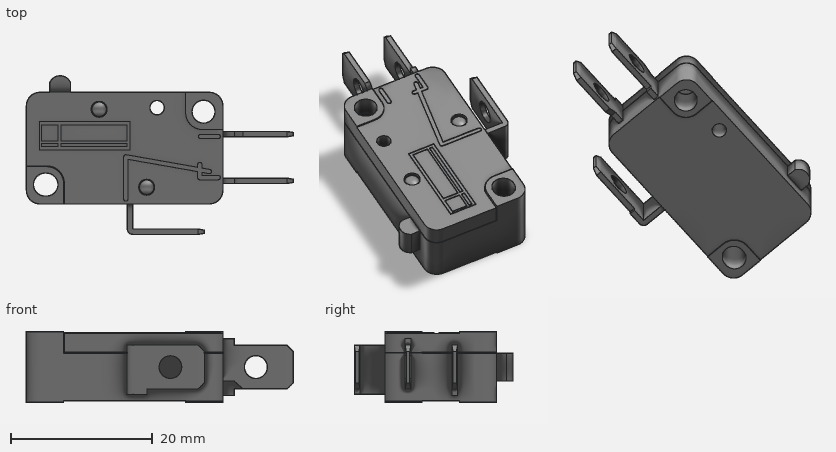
import cadquery as cq
import math

LENGTH = 27.8
WIDTH = 15.8
HEIGHT = 10.0
CORNER_RADIUS = 1.95
PAD_SIZE = 5.28
PAD_RADIUS = 2.38
PAD_STEP = 0.23
COVER_TOP_Z = HEIGHT - PAD_STEP
SEAM_Z = 6.97
GAP = 0.1

MOUNT_DIAMETER = 3.2
MOUNT_INSET = 2.75
SLOT_LENGTH = 3.43
PEG_HOLE_DIAMETER = 2.0
PEG_HOLE_CENTER = (18.47, 13.6)

RIVET_CENTERS = [(10.3, 13.4), (17.0, 2.38)]
RIVET_POCKET_DIAMETER = 2.25
RIVET_DIAMETER = 2.05
RIVET_POCKET_DEPTH = 0.4
RIVET_DOME_HEIGHT = 0.23

MARK_HEIGHT = 0.1
STROKE = 0.6
FRAME_X = (1.9, 14.65)
FRAME_Y = (7.65, 11.65)
WINDOW_COLUMNS = [(2.2, 4.5), (4.95, 14.2)]
WINDOW_ROWS = [(8.1, 8.55), (8.9, 11.2)]
ARM_PIVOT = (14.05, 6.67)
ARM_FOOT_Y = 0.7
ARM_TIP_X = 25.85
ARM_ANGLE = 10
CONTACT_X = 24.5
CONTACT_Y = (3.75, 5.58)
UPPER_MARK_X = 24.6
UPPER_MARK_Y = 9.55
MARK_END_X = 27.1

BLADE = 0.8
BLADE_MID_Z = HEIGHT / 2
BLADE_HALF_WIDTH = 3.1
BLADE_HOLE_DIAMETER = 3.2
TIP_LENGTH = 0.85
TIP_TAPER = 0.15
BLADE_TIP_X = 37.7
BLADE_HOLE_X = 32.42
SHOULDER_END_X = 29.35
SHOULDER_HALF_WIDTH = 4.05
RELIEF_HALF_WIDTH = 2.0
RELIEF_RUN = 1.25
STRAIGHT_TERMINALS = [(3.28, 1), (9.88, -1)]
BENT_X = 14.25
BENT_DROP = 4.3
BENT_TIP_X = 25.15
BENT_HOLE_X = 20.35
BENT_FOOT_END_X = 17.05
BENT_FOOT_Z = 1.13

PLUNGER_X = (3.3, 6.25)
PLUNGER_REACH = 2.35
PLUNGER_SIDE = 1.35
PLUNGER_BOTTOM_Z = HEIGHT - SEAM_Z


def box(x_range, y_range, z_range):
    size = [high - low for low, high in (x_range, y_range, z_range)]
    return cq.Workplane().box(*size, centered=False).translate((x_range[0], y_range[0], z_range[0]))


def rounded_block(z_range):
    return box((0, LENGTH), (0, WIDTH), z_range).edges("|Z").fillet(CORNER_RADIUS)


def corner_zone(far, size, radius, z_range):
    """Column over one mounting corner, rounded towards the middle of the block."""
    zone = box((0, size), (0, size), z_range).edges("|Z and >X and >Y").fillet(radius)
    if far:
        zone = zone.rotate((0, 0, 0), (0, 0, 1), 180).translate((LENGTH, WIDTH, 0))
    return zone


def through_holes():
    slot = (
        cq.Workplane().center(MOUNT_INSET, MOUNT_INSET)
        .slot2D(SLOT_LENGTH, MOUNT_DIAMETER).extrude(HEIGHT)
    )
    round_hole = (
        cq.Workplane().center(LENGTH - MOUNT_INSET, WIDTH - MOUNT_INSET)
        .circle(MOUNT_DIAMETER / 2).extrude(HEIGHT)
    )
    peg_hole = cq.Workplane().center(*PEG_HOLE_CENTER).circle(PEG_HOLE_DIAMETER / 2).extrude(HEIGHT)
    return slot.union(round_hole).union(peg_hole)


def blade(start_x, tip_x, hole_x, y):
    """Flat tab along X with a tapered tip and a cross hole."""
    shoulder_x = tip_x - TIP_LENGTH
    half = BLADE_HALF_WIDTH
    tip_half = half - TIP_LENGTH
    side = (
        cq.Workplane("XZ", origin=(0, y, BLADE_MID_Z))
        .polyline([
            (start_x, -half), (shoulder_x, -half), (tip_x, -tip_half),
            (tip_x, tip_half), (shoulder_x, half), (start_x, half),
        ])
        .close().extrude(BLADE / 2, both=True)
    )
    thick = BLADE / 2
    tip_thick = thick - TIP_TAPER
    plan = (
        cq.Workplane("XY", origin=(0, y, 0))
        .polyline([
            (start_x, -thick), (shoulder_x, -thick), (tip_x, -tip_thick),
            (tip_x, tip_thick), (shoulder_x, thick), (start_x, thick),
        ])
        .close().extrude(HEIGHT)
    )
    hole = (
        cq.Workplane("XZ", origin=(hole_x, y, BLADE_MID_Z))
        .circle(BLADE_HOLE_DIAMETER / 2).extrude(BLADE, both=True)
    )
    return side.intersect(plan).cut(hole)


def straight_terminal(y, wide_side):
    """Blade whose root steps outwards on one edge (wide_side +1 up, -1 down) and inwards on the other."""
    root_end_x = SHOULDER_END_X + RELIEF_RUN
    root = (
        cq.Workplane("XZ", origin=(0, y, BLADE_MID_Z))
        .polyline([
            (LENGTH, -wide_side * RELIEF_HALF_WIDTH),
            (SHOULDER_END_X, -wide_side * RELIEF_HALF_WIDTH),
            (root_end_x, -wide_side * BLADE_HALF_WIDTH),
            (root_end_x, wide_side * BLADE_HALF_WIDTH),
            (SHOULDER_END_X, wide_side * BLADE_HALF_WIDTH),
            (SHOULDER_END_X, wide_side * SHOULDER_HALF_WIDTH),
            (LENGTH, wide_side * SHOULDER_HALF_WIDTH),
        ])
        .close().extrude(BLADE / 2, both=True)
    )
    return blade(root_end_x, BLADE_TIP_X, BLADE_HOLE_X, y).union(root)


def bent_terminal():
    """L-shaped tab: a leg out of the front face, then a blade along X."""
    blade_y = BLADE / 2 - BENT_DROP
    top_z = BLADE_MID_Z + BLADE_HALF_WIDTH
    leg = box((BENT_X, BENT_X + BLADE), (-BENT_DROP, 0), (BENT_FOOT_Z, top_z))
    foot = box((BENT_X, BENT_FOOT_END_X), (-BENT_DROP, BLADE - BENT_DROP), (BENT_FOOT_Z, top_z))
    bend = leg.union(foot).edges("|Z and <X and <Y").fillet(BLADE)
    return bend.union(blade(BENT_FOOT_END_X, BENT_TIP_X, BENT_HOLE_X, blade_y))


def build_housing():
    """Lower block with the front mounting corner, bottom pads and the three fixed terminals."""
    block = rounded_block((PAD_STEP, SEAM_Z))
    outline = rounded_block((0, HEIGHT))
    front_post = corner_zone(False, PAD_SIZE, PAD_RADIUS, (0, HEIGHT)).intersect(outline)
    rear_pad = corner_zone(True, PAD_SIZE, PAD_RADIUS, (0, PAD_STEP)).intersect(outline)
    block = block.union(front_post).union(rear_pad).cut(through_holes())
    for y, wide_side in STRAIGHT_TERMINALS:
        block = block.union(straight_terminal(y, wide_side))
    return block.union(bent_terminal())


def rivet_recess(center):
    """Round pocket in the cover with a domed rivet head left standing in it."""
    floor_z = COVER_TOP_Z - RIVET_POCKET_DEPTH
    radius = RIVET_DIAMETER / 2
    pocket = (
        cq.Workplane(origin=(*center, floor_z))
        .circle(RIVET_POCKET_DIAMETER / 2).extrude(RIVET_POCKET_DEPTH)
    )
    ball_radius = (radius**2 + RIVET_DOME_HEIGHT**2) / (2 * RIVET_DOME_HEIGHT)
    dome = (
        cq.Workplane(origin=(*center, floor_z + RIVET_DOME_HEIGHT - ball_radius))
        .sphere(ball_radius)
    )
    return pocket.cut(dome)


def stroke(start, end):
    """Raised round-ended line on the cover."""
    dx = end[0] - start[0]
    dy = end[1] - start[1]
    middle = ((start[0] + end[0]) / 2, (start[1] + end[1]) / 2, COVER_TOP_Z)
    return (
        cq.Workplane(origin=middle)
        .transformed(rotate=(0, 0, math.degrees(math.atan2(dy, dx))))
        .slot2D(math.hypot(dx, dy) + STROKE, STROKE).extrude(MARK_HEIGHT)
    )


def contact_diagram():
    arm_drop = (ARM_TIP_X - ARM_PIVOT[0]) * math.tan(math.radians(ARM_ANGLE))
    lines = [
        (ARM_PIVOT, (ARM_PIVOT[0], ARM_FOOT_Y)),
        (ARM_PIVOT, (ARM_TIP_X, ARM_PIVOT[1] - arm_drop)),
        ((CONTACT_X, CONTACT_Y[1]), (CONTACT_X, CONTACT_Y[0])),
        ((CONTACT_X, CONTACT_Y[0]), (MARK_END_X, CONTACT_Y[0])),
        ((UPPER_MARK_X, UPPER_MARK_Y), (MARK_END_X, UPPER_MARK_Y)),
    ]
    diagram = cq.Workplane()
    for start, end in lines:
        diagram = diagram.add(stroke(start, end))
    return diagram.combine()


def label_frame():
    """Raised rectangular plate with four windows."""
    z_range = (COVER_TOP_Z, COVER_TOP_Z + MARK_HEIGHT)
    frame = box(FRAME_X, FRAME_Y, z_range)
    for column in WINDOW_COLUMNS:
        for row in WINDOW_ROWS:
            frame = frame.cut(box(column, row, z_range))
    return frame


def build_cover():
    cover = rounded_block((SEAM_Z + GAP, COVER_TOP_Z))
    rear_pad = corner_zone(True, PAD_SIZE, PAD_RADIUS, (COVER_TOP_Z, HEIGHT))
    cover = cover.union(rear_pad.intersect(rounded_block((0, HEIGHT))))
    post = corner_zone(False, PAD_SIZE + GAP, PAD_RADIUS + GAP, (0, HEIGHT))
    cover = cover.cut(post).cut(through_holes())
    for center in RIVET_CENTERS:
        cover = cover.cut(rivet_recess(center))
    return cover.union(contact_diagram()).union(label_frame())


def build_plunger():
    """Round-nosed button standing on the rear face of the housing."""
    left, right = PLUNGER_X
    shoulder_y = WIDTH + PLUNGER_SIDE
    return (
        cq.Workplane(origin=(0, 0, PLUNGER_BOTTOM_Z))
        .moveTo(left, WIDTH).lineTo(left, shoulder_y)
        .threePointArc(((left + right) / 2, WIDTH + PLUNGER_REACH), (right, shoulder_y))
        .lineTo(right, WIDTH).close().extrude(SEAM_Z - PLUNGER_BOTTOM_Z)
    )


housing = build_housing().solids()
cover = build_cover().solids()
plunger = build_plunger()

result = cq.Compound.makeCompound([housing.val(), cover.val(), plunger.val()])